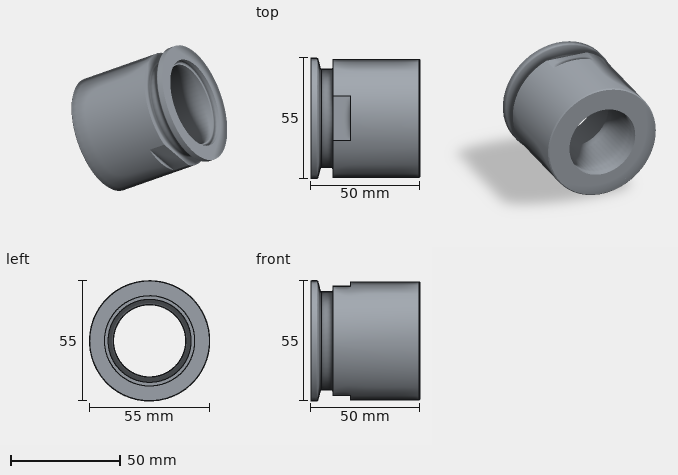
import cadquery as cq
import math

TOTAL_LENGTH = 50.0
SLEEVE_START = 10.0
FLAT_LENGTH = 8.0

FLANGE_DIAMETER = 55.0
NECK_DIAMETER = 45.0
SLEEVE_DIAMETER = 54.0
FLANGE_RIM_END = 3.0
FLANGE_TAPER_ANGLE = 15.0
RIM_FILLET = 0.75
TAPER_FILLET = 0.5
SHOULDER_FILLET = 0.6
END_CHAMFER = 0.5
ACROSS_FLATS = 50.0

RECESS_DIAMETER = 41.3
RECESS_DEPTH = 2.6
ENTRY_DIAMETER = 38.0
ENTRY_END = 20.0
BORE_DIAMETER = 33.0

INSERT_DIAMETER = 49.0
INSERT_START = 24.0

CUT_MARGIN = 0.55
SELECTION_MARGIN = 0.05


def cylinder(diameter, start, end):
    """Solid cylinder on the X axis between two X positions."""
    return cq.Workplane("YZ", origin=(start, 0, 0)).circle(diameter / 2).extrude(end - start)


def circle_edge(x, radius):
    """Selector for circular edges at X that are no larger than the radius."""
    reach = radius + SELECTION_MARGIN
    low_corner = (x - SELECTION_MARGIN, -reach, -reach)
    high_corner = (x + SELECTION_MARGIN, reach, reach)
    return cq.selectors.BoxSelector(low_corner, high_corner, boundingbox=True)


def make_outer_body():
    """Flange with a tapered back, neck and sleeve, turned about the X axis."""
    flange_radius = FLANGE_DIAMETER / 2
    neck_radius = NECK_DIAMETER / 2
    sleeve_radius = SLEEVE_DIAMETER / 2
    taper_length = (flange_radius - neck_radius) * math.tan(math.radians(FLANGE_TAPER_ANGLE))
    taper_end = FLANGE_RIM_END + taper_length
    body = (
        cq.Workplane("XY")
        .moveTo(0, 0)
        .lineTo(0, flange_radius)
        .lineTo(FLANGE_RIM_END, flange_radius)
        .lineTo(taper_end, neck_radius)
        .lineTo(SLEEVE_START, neck_radius)
        .lineTo(SLEEVE_START, sleeve_radius)
        .lineTo(TOTAL_LENGTH, sleeve_radius)
        .lineTo(TOTAL_LENGTH, 0)
        .close()
        .revolve(360, (0, 0, 0), (1, 0, 0))
    )

    body = body.edges(circle_edge(FLANGE_RIM_END, flange_radius)).fillet(RIM_FILLET)
    body = body.edges(circle_edge(taper_end, neck_radius)).fillet(TAPER_FILLET)
    body = body.edges(circle_edge(SLEEVE_START, neck_radius)).fillet(SHOULDER_FILLET)
    return body.faces(">X").edges().chamfer(END_CHAMFER)


def cut_wrench_flats(body):
    """Two parallel flats, above and below, at the flange end of the sleeve."""
    flat_depth = SLEEVE_DIAMETER / 2 - ACROSS_FLATS / 2 + CUT_MARGIN
    center_x = SLEEVE_START + FLAT_LENGTH / 2
    center_z = ACROSS_FLATS / 2 + flat_depth / 2
    for side in (1, -1):
        cutter = cq.Workplane("XY").box(FLAT_LENGTH, SLEEVE_DIAMETER, flat_depth)
        body = body.cut(cutter.translate((center_x, 0, side * center_z)))
    return body


def make_housing():
    """Flanged sleeve with a stepped bore and a seat for the insert."""
    body = cut_wrench_flats(make_outer_body())
    body = body.cut(cylinder(RECESS_DIAMETER, 0, RECESS_DEPTH))
    body = body.cut(cylinder(ENTRY_DIAMETER, 0, ENTRY_END))
    body = body.cut(cylinder(BORE_DIAMETER, 0, TOTAL_LENGTH))
    return body.cut(cylinder(INSERT_DIAMETER, INSERT_START, TOTAL_LENGTH))


def make_insert():
    """Plain ring that fills the seat and continues the housing bore."""
    ring = cylinder(INSERT_DIAMETER, INSERT_START, TOTAL_LENGTH)
    return ring.cut(cylinder(BORE_DIAMETER, INSERT_START, TOTAL_LENGTH))


housing = make_housing()
insert = make_insert()
result = cq.Compound.makeCompound([housing.val(), insert.val()])